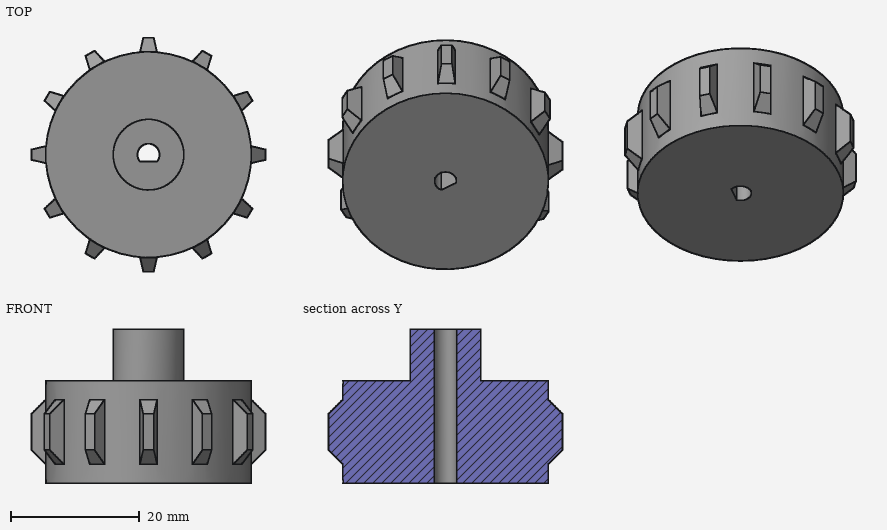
import cadquery as cq

drum_diameter = 32.0
drum_height = 15.98
hub_diameter = 11.0
total_height = 24.0

bore_diameter = 3.4
bore_flat_offset = 1.05

tooth_count = 12
tip_diameter = 36.4
root_width = 2.7
tip_width = 1.65
tooth_length = 10.0
root_depth = 0.07

drum_radius = drum_diameter / 2
tip_radius = tip_diameter / 2
root_radius = drum_radius - root_depth
end_chamfer = tip_radius - drum_radius


def make_tooth():
    """Tooth pointing along +X, with tapered sides and 45 degree ends."""
    half_root = root_width / 2
    half_tip = tip_width / 2
    section = [
        (root_radius, -half_root),
        (tip_radius, -half_tip),
        (tip_radius, half_tip),
        (root_radius, half_root),
    ]
    bottom = (drum_height - tooth_length) / 2
    bar = cq.Workplane("XY", origin=(0, 0, bottom)).polyline(section).close().extrude(tooth_length)
    return bar.faces(">X").edges("|Y").chamfer(end_chamfer)


def make_bore():
    """D-shaped hole through the full height."""
    round_hole = cq.Workplane("XY").circle(bore_diameter / 2).extrude(total_height)
    above_flat = (
        cq.Workplane("XY", origin=(0, bore_diameter / 2 - bore_flat_offset, 0))
        .rect(bore_diameter, bore_diameter)
        .extrude(total_height)
    )
    return round_hole.intersect(above_flat)


drum = cq.Workplane("XY").circle(drum_radius).extrude(drum_height)
hub = cq.Workplane("XY").circle(hub_diameter / 2).extrude(total_height)
result = drum.union(hub)

tooth = make_tooth()
for index in range(tooth_count):
    angle = index * 360 / tooth_count
    result = result.union(tooth.rotate((0, 0, 0), (0, 0, 1), angle))

result = result.cut(make_bore())